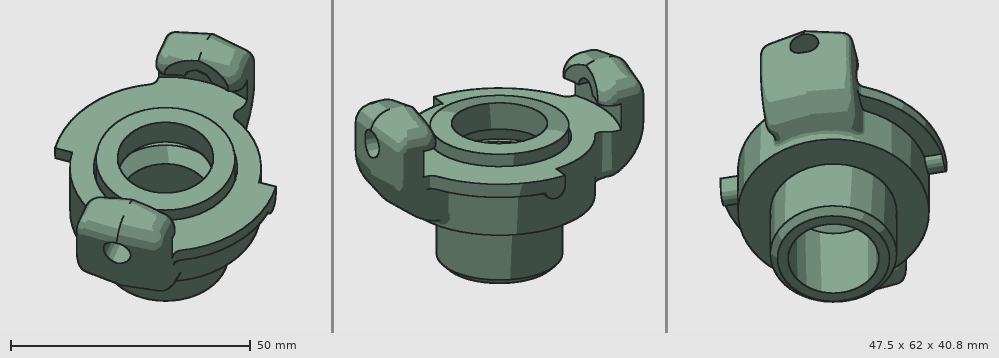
import cadquery as cq
import math

TOTAL_HEIGHT = 40.8
DISC_BOTTOM = 15.0
DISC_TOP = 28.5

PIPE_RADIUS = 26.4 / 2
PIPE_CHAMFER = 1.5
BORE_RADIUS = 19.0 / 2

DISC_RADIUS = 40.0 / 2
FLANGE_RADIUS = 47.5 / 2
FLANGE_BOTTOM = 25.5
FLANGE_FILLET = 2.0
STOP_RADIUS = 2.5
STOP_CENTRE_Z = 26.3

CLAW_HALF_WIDTH = 9.8
CLAW_REACH = 31.0
CLAW_TIP = 18.6
CLAW_ROOT = 16.1
CLAW_BOTTOM = 16.75
RIDGE_FALL = CLAW_HALF_WIDTH * math.tan(math.radians(8))
CLAW_HEEL_RADIUS = 12.0
CLAW_TOP_RADIUS = 4.95
CLAW_EDGE_RADIUS = 2.0
CLAW_TIP_RADIUS = 3.0
ROOT_FILLET = 1.5

SLOT_RADIUS = 25.6
SLOT_TOP = 34.5
SLOT_MIDDLE = (DISC_TOP + SLOT_TOP) / 2
TIP_FACE_RADIUS = 20.85

NECK_HALF_WIDTH = 8.55
NECK_END = 19.2
NECK_CURVE_RADIUS = 1.8
SWELL_END = 22.5

HOLE_RADIUS = 6.0 / 2
HOLE_Z = 33.85

RECESS_RADIUS = 30.0 / 2
RECESS_FLOOR = 21.2
FUNNEL_RADIUS = 12.95
FUNNEL_BOTTOM = RECESS_FLOOR - (FUNNEL_RADIUS - BORE_RADIUS) * math.tan(math.radians(30))
SEAL_RADIUS = 29.0 / 2
SEAL_BORE_RADIUS = 20.0 / 2
SEAL_LIP_BOTTOM = 25.4
SEAL_FOOT_RADIUS = 14.15
SEAL_HOLLOW_DEPTH = 0.75
SEAL_RIM_TOP = 31.1
SEAL_TOP = 31.5

MARGIN = 0.3


def cylinder(radius, z_low, z_high):
    return cq.Workplane("XY", origin=(0, 0, z_low)).circle(radius).extrude(z_high - z_low)


def half_turn(shape):
    return shape.rotate((0, 0, 0), (0, 0, 1), 180)


def revolved(profile):
    """Close a radius-height profile and turn it about the Z axis."""
    return profile.close().revolve(360, (0, 0, 0), (0, 1, 0))


def edges_near(shape, low, high):
    """Edges whose middle lies in the box from low to high, widened by the margin."""
    box_low = [value - MARGIN for value in low]
    box_high = [value + MARGIN for value in high]
    return shape.edges(cq.selectors.BoxSelector(box_low, box_high))


def half_claw_block():
    """Sharp-edged half of the claw on the +Y side, for x >= 0."""
    plan = (
        cq.Workplane("XY")
        .moveTo(0, CLAW_ROOT)
        .lineTo(CLAW_HALF_WIDTH, CLAW_ROOT)
        .lineTo(CLAW_HALF_WIDTH, CLAW_REACH - RIDGE_FALL)
        .lineTo(0, CLAW_REACH)
        .close()
        .extrude(TOTAL_HEIGHT)
    )
    elevation = (
        cq.Workplane("XZ")
        .moveTo(0, CLAW_BOTTOM)
        .lineTo(CLAW_HALF_WIDTH, CLAW_BOTTOM)
        .lineTo(CLAW_HALF_WIDTH, TOTAL_HEIGHT - RIDGE_FALL)
        .lineTo(0, TOTAL_HEIGHT)
        .close()
        .extrude(-CLAW_REACH)
    )
    tip_clearance = (
        cq.Workplane("XY", origin=(0, 0, SLOT_MIDDLE))
        .lineTo(CLAW_HALF_WIDTH, 0)
        .lineTo(CLAW_HALF_WIDTH, CLAW_TIP + RIDGE_FALL)
        .lineTo(0, CLAW_TIP)
        .close()
        .extrude(TOTAL_HEIGHT)
    )
    return plan.intersect(elevation).cut(tip_clearance)


def claw_relief():
    """Cutter beside the claw's neck on the +X side, below the slot."""
    curve_x = NECK_HALF_WIDTH + NECK_CURVE_RADIUS
    across = curve_x - CLAW_HALF_WIDTH
    along = SWELL_END - NECK_END
    swell_radius = (across**2 + along**2 - NECK_CURVE_RADIUS**2) / (2 * (NECK_CURVE_RADIUS - across))
    swell_x = CLAW_HALF_WIDTH - swell_radius
    turn = math.atan2(along, curve_x - swell_x)

    def on_neck_curve(angle):
        return (curve_x - NECK_CURVE_RADIUS * math.cos(angle), NECK_END + NECK_CURVE_RADIUS * math.sin(angle))

    def on_swell(angle):
        return (swell_x + swell_radius * math.cos(angle), SWELL_END - swell_radius * math.sin(angle))

    return (
        cq.Workplane("XY")
        .moveTo(NECK_HALF_WIDTH, CLAW_ROOT)
        .lineTo(NECK_HALF_WIDTH, NECK_END)
        .threePointArc(on_neck_curve(turn / 2), on_neck_curve(turn))
        .threePointArc(on_swell(turn / 2), on_swell(0))
        .lineTo(CLAW_HALF_WIDTH, CLAW_ROOT)
        .close()
        .extrude(DISC_TOP)
    )


def round_half_claw(half):
    side_x = CLAW_HALF_WIDTH
    side_y = CLAW_REACH - RIDGE_FALL
    tip_y = CLAW_TIP + RIDGE_FALL
    heel = edges_near(half, (side_x / 2, side_y, CLAW_BOTTOM), (side_x / 2, CLAW_REACH, CLAW_BOTTOM))
    half = heel.fillet(CLAW_HEEL_RADIUS)
    half = half.faces(">Z").edges("not <X").fillet(CLAW_TOP_RADIUS)
    outer_corner = edges_near(half, (side_x, side_y, DISC_TOP), (side_x, side_y, SLOT_TOP - 2 * MARGIN))
    half = outer_corner.fillet(CLAW_EDGE_RADIUS)
    tip_corner = edges_near(half, (side_x, tip_y, SLOT_MIDDLE), (side_x, tip_y, SLOT_TOP - 2 * MARGIN))
    return tip_corner.fillet(CLAW_TIP_RADIUS)


def claw():
    """Claw on the +Y side."""
    plain_half = round_half_claw(half_claw_block()).mirror("YZ")
    necked_half = round_half_claw(half_claw_block().cut(claw_relief()))
    slot = cylinder(SLOT_RADIUS, DISC_TOP, SLOT_TOP)
    tip_face = cylinder(TIP_FACE_RADIUS, DISC_TOP, TOTAL_HEIGHT)
    hole = cq.Workplane("XZ", origin=(0, 0, HOLE_Z)).circle(HOLE_RADIUS).extrude(-CLAW_REACH)
    return plain_half.union(necked_half).cut(slot).cut(tip_face).cut(hole)


def flange():
    """Locking flange on the +X side, from its half-round stop to the claw at -Y."""
    quarter = (
        cq.Workplane("XY", origin=(0, 0, FLANGE_BOTTOM))
        .rect(FLANGE_RADIUS, -FLANGE_RADIUS, centered=False)
        .extrude(DISC_TOP - FLANGE_BOTTOM)
    )
    stop_nose = cq.Workplane("YZ").center(0, STOP_CENTRE_Z).circle(STOP_RADIUS).extrude(FLANGE_RADIUS)
    stop_block = (
        cq.Workplane("YZ")
        .center(0, STOP_CENTRE_Z)
        .rect(2 * STOP_RADIUS, DISC_TOP - STOP_CENTRE_Z, centered=(True, False))
        .extrude(FLANGE_RADIUS)
    )
    outline = cylinder(FLANGE_RADIUS, 0, DISC_TOP)
    return quarter.union(stop_nose).union(stop_block).intersect(outline)


def is_claw_root(edge):
    """True for an edge where a claw leaves the round side of the disc."""
    middle = edge.Center()
    on_disc = abs(math.hypot(middle.x, middle.y) - DISC_RADIUS) < MARGIN / 2
    return on_disc and DISC_BOTTOM + MARGIN < middle.z < DISC_TOP - MARGIN


def seal_recess():
    """Recess for the seal, with a funnel and the bore below it."""
    return revolved(
        cq.Workplane("XZ")
        .lineTo(BORE_RADIUS, 0)
        .lineTo(BORE_RADIUS, FUNNEL_BOTTOM)
        .lineTo(FUNNEL_RADIUS, RECESS_FLOOR)
        .lineTo(RECESS_RADIUS, RECESS_FLOOR)
        .lineTo(RECESS_RADIUS, DISC_TOP)
        .lineTo(0, DISC_TOP)
    )


def make_housing():
    body = cylinder(DISC_RADIUS, DISC_BOTTOM, DISC_TOP)
    back_claw = claw()
    body = body.union(back_claw).union(half_turn(back_claw))
    body = body.edges().filter(is_claw_root).fillet(ROOT_FILLET)
    body = body.union(cylinder(PIPE_RADIUS, 0, DISC_BOTTOM).faces("<Z").chamfer(PIPE_CHAMFER))
    right_flange = flange()
    body = body.union(right_flange).union(half_turn(right_flange))
    corner_y = math.sqrt(FLANGE_RADIUS**2 - CLAW_HALF_WIDTH**2)
    for side in (1, -1):
        corner = (side * CLAW_HALF_WIDTH, -side * corner_y)
        low = (*corner, FLANGE_BOTTOM + 2 * MARGIN)
        high = (*corner, DISC_TOP - 2 * MARGIN)
        body = edges_near(body, low, high).fillet(FLANGE_FILLET)
    return body.cut(seal_recess()).solids()


def make_seal():
    """Ring with a slightly conical top and a hollow under its inner lip."""
    hollow_middle = (
        (SEAL_BORE_RADIUS + SEAL_FOOT_RADIUS) / 2 + SEAL_HOLLOW_DEPTH,
        (SEAL_LIP_BOTTOM + RECESS_FLOOR) / 2 + SEAL_HOLLOW_DEPTH,
    )
    return revolved(
        cq.Workplane("XZ")
        .moveTo(SEAL_FOOT_RADIUS, RECESS_FLOOR)
        .lineTo(SEAL_RADIUS, RECESS_FLOOR)
        .lineTo(SEAL_RADIUS, SEAL_RIM_TOP)
        .lineTo(SEAL_BORE_RADIUS, SEAL_TOP)
        .lineTo(SEAL_BORE_RADIUS, SEAL_LIP_BOTTOM)
        .threePointArc(hollow_middle, (SEAL_FOOT_RADIUS, RECESS_FLOOR))
    )


housing = make_housing()
seal = make_seal()
result = cq.Compound.makeCompound([housing.val(), seal.val()])